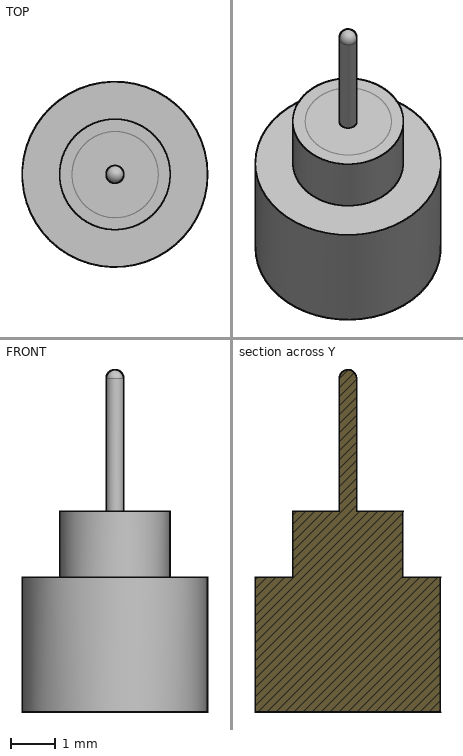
import cadquery as cq

total_height = 7.75
body_height = 3.05
collar_height = 1.495
collar_top = body_height + collar_height

body_diameter = 4.2
collar_diameter = 2.5
insulator_diameter = 1.95
pin_diameter = 0.4
pin_radius = pin_diameter / 2


def cylinder(diameter, bottom, top):
    """Upright cylinder on the Z axis between two heights."""
    return cq.Workplane("XY").workplane(offset=bottom).circle(diameter / 2).extrude(top - bottom)


body = cylinder(body_diameter, 0, body_height)
collar = cylinder(collar_diameter, body_height, collar_top)
insulator = cylinder(insulator_diameter, body_height, collar_top)
shell = body.union(collar).cut(insulator)

pin_shaft = cylinder(pin_diameter, collar_top, total_height - pin_radius)
pin_tip = cq.Workplane("XY").sphere(pin_radius).translate((0, 0, total_height - pin_radius))
pin = pin_shaft.union(pin_tip)

result = shell.union(insulator, clean=False).union(pin, clean=False)